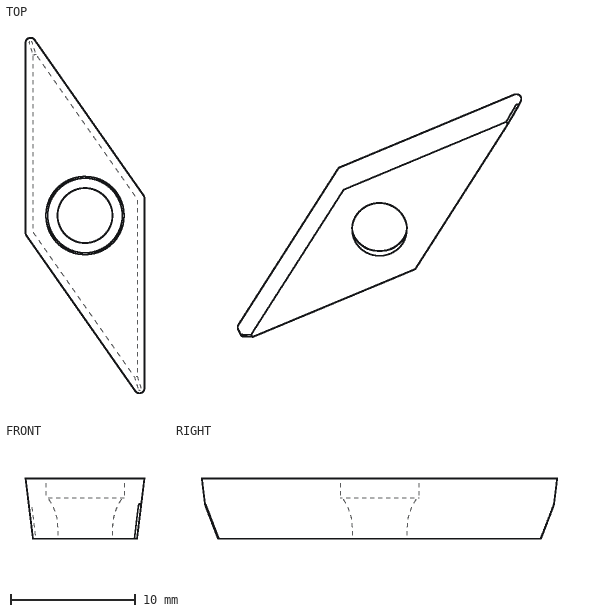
import cadquery as cq
import math

length = 28.5
width = 9.55
thickness = 4.85
nose_angle = 35.0
clearance_angle = 7.0
obtuse_corner_radius = 0.4

relief_depth = 2.02
relief_angle = 22.0

recess_diameter = 6.27
recess_depth = 1.55
seat_diameter = 5.98
bore_diameter = 4.4
seat_height = 2.42

nose_rad = math.radians(nose_angle)
side = width / math.sin(nose_rad)
sharp_length = side * (1 + math.cos(nose_rad))
half_width = width / 2
acute_y = sharp_length / 2
obtuse_y = side - acute_y
half_diagonal = math.hypot(width, sharp_length) / 2

sharp_overhang = (sharp_length - length) / 2
nose_radius = sharp_overhang / (1 / math.tan(nose_rad / 2) - 1)
nose_reach = half_diagonal - nose_radius * (1 / math.sin(nose_rad / 2) - 1)

clearance_slope = math.tan(math.radians(clearance_angle))
relief_slope = math.tan(math.radians(relief_angle))


def rhombus_prism(depth):
    """Sharp rhombus extruded down from the top face with the clearance taper."""
    right_side = [(half_width, -acute_y), (half_width, obtuse_y)]
    points = [(-half_width, acute_y), (-half_width, -obtuse_y)] + right_side
    return cq.Workplane("XY").polyline(points).close().extrude(-depth, taper=clearance_angle)


def nose_rounded_prism(depth):
    """The same prism with noses whose radius shrinks along the taper."""
    center_x = half_width - nose_radius
    center_y = length / 2 - nose_radius
    mid_angle = math.pi / 2 + nose_rad / 2
    mid_x = -center_x + nose_radius * math.cos(mid_angle)
    mid_y = center_y + nose_radius * math.sin(mid_angle)
    end_x = -center_x + nose_radius * math.cos(nose_rad)
    end_y = center_y + nose_radius * math.sin(nose_rad)
    return (
        cq.Workplane("XY")
        .moveTo(-half_width, -obtuse_y)
        .lineTo(-half_width, center_y)
        .threePointArc((mid_x, mid_y), (end_x, end_y))
        .lineTo(half_width, obtuse_y)
        .lineTo(half_width, -center_y)
        .threePointArc((-mid_x, -mid_y), (-end_x, -end_y))
        .close()
        .extrude(-depth, taper=clearance_angle)
    )


def relief_cutter():
    """Wedge below one nose, square to the long diagonal of the rhombus."""
    start_reach = nose_reach - relief_depth * clearance_slope
    bottom_reach = start_reach - (thickness - relief_depth) * relief_slope
    return (
        cq.Workplane("YZ")
        .moveTo(start_reach, -relief_depth)
        .lineTo(bottom_reach, -thickness)
        .lineTo(half_diagonal, -thickness)
        .lineTo(half_diagonal, -relief_depth)
        .close()
        .extrude(half_width, both=True)
    )


def screw_hole():
    """Cylindrical recess, convex rounded seat and through bore, turned about Z."""
    seat_r = seat_diameter / 2
    bore_r = bore_diameter / 2
    seat_drop = seat_r - bore_r
    arc_radius = (seat_drop**2 + seat_height**2) / (2 * seat_drop)
    seat_bottom = -recess_depth - seat_height
    half_sweep = math.asin(seat_height / arc_radius) / 2
    arc_mid = (
        bore_r + arc_radius * (1 - math.cos(half_sweep)),
        seat_bottom + arc_radius * math.sin(half_sweep),
    )
    return (
        cq.Workplane("XZ")
        .lineTo(recess_diameter / 2, 0)
        .lineTo(recess_diameter / 2, -recess_depth)
        .lineTo(seat_r, -recess_depth)
        .threePointArc(arc_mid, (bore_r, seat_bottom))
        .lineTo(bore_r, -thickness)
        .lineTo(0, -thickness)
        .close()
        .revolve(360, (0, 0), (0, 1))
    )


rounded_share = 0.95
rounded_depth = rounded_share * nose_radius / clearance_slope
below_noses = cq.Workplane("XY").workplane(offset=-thickness).rect(width, sharp_length)
below_noses = below_noses.extrude(thickness - rounded_depth)
body = rhombus_prism(thickness).intersect(below_noses)
body = body.union(nose_rounded_prism(rounded_depth)).clean()

for turn in (0, 180):
    body = body.cut(relief_cutter().rotate((0, 0, 0), (0, 0, 1), nose_angle / 2 + turn))

middle = cq.selectors.BoxSelector((-width, -side / 4, -thickness), (width, side / 4, 0))
body = body.edges(middle).edges("not #Z").fillet(obtuse_corner_radius)

result = body.cut(screw_hole())